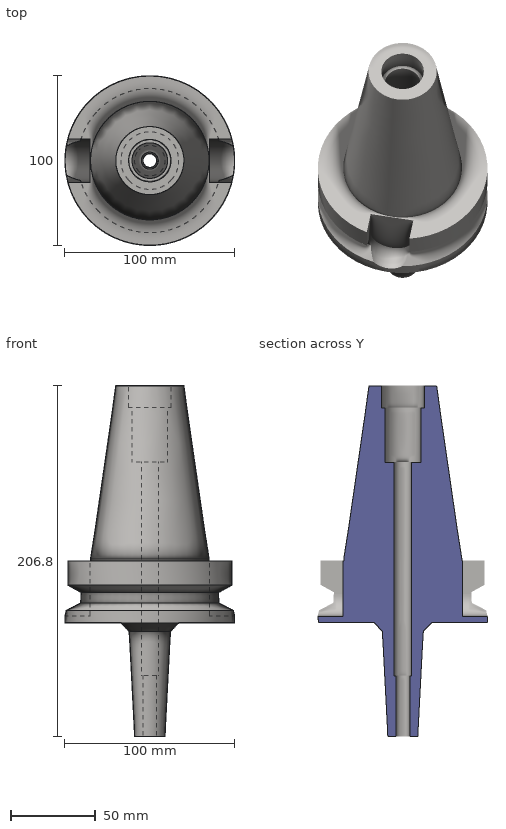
import cadquery as cq
import math


GAUGE_Z = 105.0
GAUGE_DIAMETER = 69.85
TAPER_LENGTH = 101.8
TAPER_RATIO = 7 / 24
TOP_Z = GAUGE_Z + TAPER_LENGTH
TAPER_TOP_DIAMETER = GAUGE_DIAMETER - TAPER_RATIO * TAPER_LENGTH

FLANGE_DIAMETER = 100.0
GAUGE_LAND_HEIGHT = 1.5
FLANGE_HEIGHT = 36.5
FLANGE_TOP_Z = GAUGE_Z - GAUGE_LAND_HEIGHT
FLANGE_BOTTOM_Z = FLANGE_TOP_Z - FLANGE_HEIGHT
GROOVE_DIAMETER = 85.0
GROOVE_CENTRE_DEPTH = 23.2
GROOVE_CENTRE_Z = GAUGE_Z - GROOVE_CENTRE_DEPTH
GROOVE_MOUTH_HEIGHT = 15.0
GROOVE_FLANK_ANGLE = 30.0

SLOT_WIDTH = 25.5
SLOT_FLOOR_X = 35.3
SLOT_DEPTH = 32.5
SLOT_BOTTOM_Z = FLANGE_TOP_Z - SLOT_DEPTH

NOSE_TIP_DIAMETER = 18.0
NOSE_HALF_ANGLE = 3.0
COLLAR_HEIGHT = 5.0
COLLAR_FLANGE_DIAMETER = 34.0

PILOT_DIAMETER = 25.0
PILOT_DEPTH = 13.0
THREAD_DIAMETER = 21.0
THREAD_DEPTH = 45.0
COOLANT_DIAMETER = 10.0
TOOL_BORE_DIAMETER = 8.0
TOOL_BORE_DEPTH = 36.0


def make_body():
    """Revolve the outer profile: nose, collar, grooved flange and taper."""
    flange_radius = FLANGE_DIAMETER / 2
    groove_radius = GROOVE_DIAMETER / 2
    gauge_radius = GAUGE_DIAMETER / 2
    mouth_half = GROOVE_MOUTH_HEIGHT / 2
    flank_rise = (flange_radius - groove_radius) * math.tan(math.radians(GROOVE_FLANK_ANGLE))
    root_half = mouth_half - flank_rise
    collar_z = FLANGE_BOTTOM_Z - COLLAR_HEIGHT
    tip_radius = NOSE_TIP_DIAMETER / 2
    nose_radius = tip_radius + collar_z * math.tan(math.radians(NOSE_HALF_ANGLE))
    profile = [
        (0, 0),
        (tip_radius, 0),
        (nose_radius, collar_z),
        (COLLAR_FLANGE_DIAMETER / 2, FLANGE_BOTTOM_Z),
        (flange_radius, FLANGE_BOTTOM_Z),
        (flange_radius, GROOVE_CENTRE_Z - mouth_half),
        (groove_radius, GROOVE_CENTRE_Z - root_half),
        (groove_radius, GROOVE_CENTRE_Z + root_half),
        (flange_radius, GROOVE_CENTRE_Z + mouth_half),
        (flange_radius, FLANGE_TOP_Z),
        (gauge_radius, FLANGE_TOP_Z),
        (gauge_radius, GAUGE_Z),
        (TAPER_TOP_DIAMETER / 2, TOP_Z),
        (0, TOP_Z),
    ]
    return cq.Workplane("YZ").polyline(profile).close().revolve(360, (0, 0), (0, 1))


def make_drive_slot(side):
    """Round-bottomed slot, open upwards; side is -1 or +1 along X."""
    radius = SLOT_WIDTH / 2
    arc_z = SLOT_BOTTOM_Z + radius
    reach = side * FLANGE_DIAMETER / 2
    return (
        cq.Workplane("YZ", origin=(side * SLOT_FLOOR_X, 0, 0))
        .moveTo(-radius, GAUGE_Z)
        .lineTo(-radius, arc_z)
        .threePointArc((0, SLOT_BOTTOM_Z), (radius, arc_z))
        .lineTo(radius, GAUGE_Z)
        .close()
        .extrude(reach)
    )


def make_bore():
    """Stepped bore: tool bore in the nose, coolant hole, threaded bore and pilot above."""
    steps = (
        (TOOL_BORE_DIAMETER, 0),
        (COOLANT_DIAMETER, TOOL_BORE_DEPTH),
        (THREAD_DIAMETER, TOP_Z - THREAD_DEPTH),
        (PILOT_DIAMETER, TOP_Z - PILOT_DEPTH),
    )
    bore = cq.Workplane("XY")
    for diameter, bottom_z in steps:
        step = cq.Workplane("XY", origin=(0, 0, bottom_z)).circle(diameter / 2).extrude(TOP_Z - bottom_z)
        bore = bore.union(step)
    return bore


result = make_body()
for side in (-1, 1):
    result = result.cut(make_drive_slot(side))
result = result.cut(make_bore())